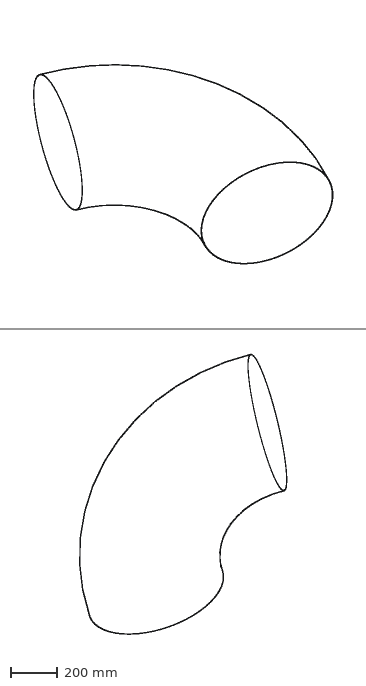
import cadquery as cq

overall_length = 1003.0
pipe_diameter = 606.0
wall_thickness = 3.0
bend_angle = 90.0

outer_radius = pipe_diameter / 2
inner_radius = outer_radius - wall_thickness
bend_radius = overall_length - outer_radius


def pipe_elbow():
    """Thin-walled pipe bent about the Z axis.

    One open end faces -Y and the other faces +X.
    """
    pipe_ring = (
        cq.Workplane("XZ")
        .center(-bend_radius, 0)
        .circle(outer_radius)
        .circle(inner_radius)
    )
    axis_start = (bend_radius, 0)
    axis_end = (bend_radius, -1)
    return pipe_ring.revolve(bend_angle, axis_start, axis_end)


result = pipe_elbow()